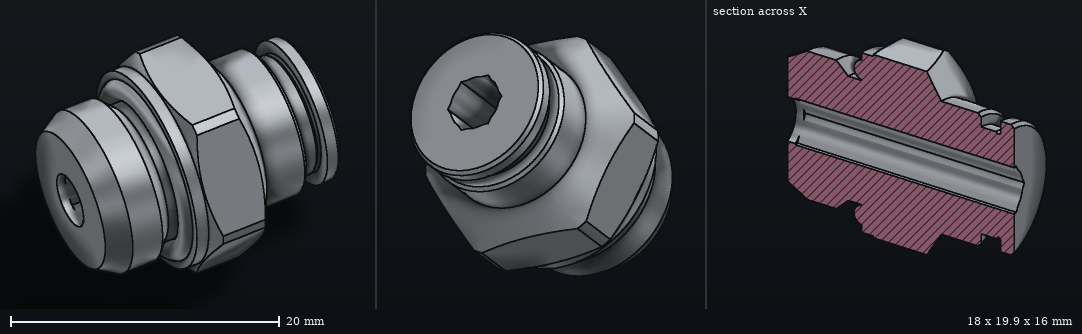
import cadquery as cq
import math


TOTAL_LENGTH = 19.89
BORE_RADIUS = 2.1

THREAD_RADIUS = 6.55
THREAD_ROOT_RADIUS = 5.5
THREAD_TIP_LENGTH = 1.77
THREAD_RUNOUT_START = 4.3
THREAD_RUNOUT_END = THREAD_RUNOUT_START + THREAD_RADIUS - THREAD_ROOT_RADIUS

FLANGE_RADIUS = 7.9
FLANGE_START = 6.48
FLANGE_END = 7.48
RING_SECTION_RADIUS = 0.9
RING_OUTER_RADIUS = 7.28
RING_CENTRE_RADIUS = RING_OUTER_RADIUS - RING_SECTION_RADIUS
RING_FRONT = 5.82
RING_CENTRE_Y = RING_FRONT + RING_SECTION_RADIUS

HEX_ACROSS_FLATS = 16.0
HEX_TURNED_RADIUS = 9.0
HEX_CONE_SLOPE = math.tan(math.radians(30))
HEX_CORNER_START = FLANGE_END + (HEX_TURNED_RADIUS - FLANGE_RADIUS) * HEX_CONE_SLOPE

BODY_RADIUS = 5.88
BODY_START = 13.5
BODY_END = 17.0
EDGE_CHAMFER = 0.28
HEX_CORNER_END = BODY_START - (HEX_TURNED_RADIUS - BODY_RADIUS) * HEX_CONE_SLOPE

SLEEVE_RADIUS = 4.77
SLEEVE_END = 18.3
COLLAR_RADIUS = 5.77
COLLAR_START = 18.69
GROOVE_ROOT_RADIUS = 4.58
GROOVE_ROOT_Y = (SLEEVE_END + COLLAR_START) / 2

SOCKET_ACROSS_FLATS = 4.0
SOCKET_START = 0.72


def revolve_about_y(profile):
    return profile.revolve(360, (0, 0, 0), (0, 1, 0))


def make_turned_body():
    outline = [
        (0, 0),
        (THREAD_ROOT_RADIUS, 0),
        (THREAD_RADIUS, THREAD_TIP_LENGTH),
        (THREAD_RADIUS, THREAD_RUNOUT_START),
        (THREAD_ROOT_RADIUS, THREAD_RUNOUT_END),
        (THREAD_ROOT_RADIUS, FLANGE_START),
        (FLANGE_RADIUS, FLANGE_START),
        (FLANGE_RADIUS, FLANGE_END),
        (HEX_TURNED_RADIUS, HEX_CORNER_START),
        (HEX_TURNED_RADIUS, HEX_CORNER_END),
        (BODY_RADIUS, BODY_START),
        (BODY_RADIUS, BODY_END - EDGE_CHAMFER),
        (BODY_RADIUS - EDGE_CHAMFER, BODY_END),
        (SLEEVE_RADIUS, BODY_END),
        (SLEEVE_RADIUS, SLEEVE_END),
        (GROOVE_ROOT_RADIUS, GROOVE_ROOT_Y),
        (SLEEVE_RADIUS, COLLAR_START),
        (COLLAR_RADIUS, COLLAR_START),
        (COLLAR_RADIUS, TOTAL_LENGTH - EDGE_CHAMFER),
        (COLLAR_RADIUS - EDGE_CHAMFER, TOTAL_LENGTH),
        (0, TOTAL_LENGTH),
    ]
    return revolve_about_y(cq.Workplane("XY").polyline(outline).close())


def make_hexagon_bar(across_flats, start):
    across_corners = across_flats / math.cos(math.radians(30))
    base = cq.Workplane("XZ", origin=(0, start, 0))
    return base.polygon(6, across_corners).extrude(start - TOTAL_LENGTH)


def make_o_ring():
    section = cq.Workplane("XY").center(RING_CENTRE_RADIUS, RING_CENTRE_Y).circle(RING_SECTION_RADIUS)
    return section.revolve(360, (-RING_CENTRE_RADIUS, 0, 0), (-RING_CENTRE_RADIUS, 1, 0))


def make_bore():
    return cq.Workplane("XZ").circle(BORE_RADIUS).extrude(-TOTAL_LENGTH)


result = make_turned_body().intersect(make_hexagon_bar(HEX_ACROSS_FLATS, 0))
result = result.union(make_o_ring())
result = result.cut(make_bore())
result = result.cut(make_hexagon_bar(SOCKET_ACROSS_FLATS, SOCKET_START))